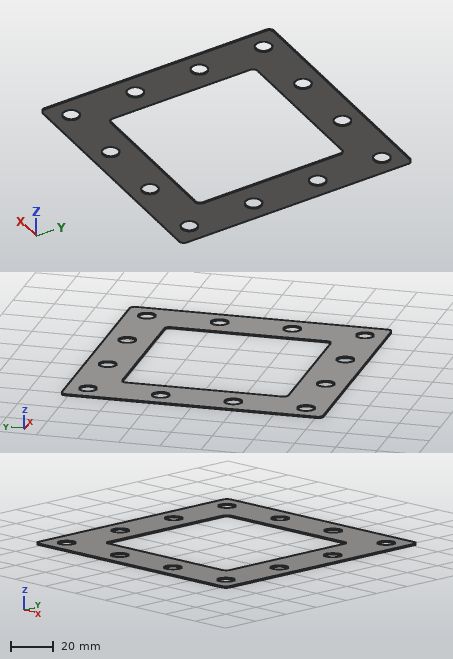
import cadquery as cq

side = 127.0
thickness = 0.81
outer_corner_radius = 2.5

window_side = 80.8
window_corner_radius = 2.5

hole_diameter = 8.4
hole_square_side = 105.9
holes_per_side = 4
hole_pitch = hole_square_side / (holes_per_side - 1)


def rounded_square(width, corner_radius):
    """Square slab of the plate thickness with rounded vertical edges."""
    slab = cq.Workplane("XY").rect(width, width).extrude(thickness)
    return slab.edges("|Z").fillet(corner_radius)


def bolt_hole_centers():
    """Grid positions that lie on the border of the hole square."""
    border = (0, holes_per_side - 1)
    return [
        (column * hole_pitch - hole_square_side / 2, row * hole_pitch - hole_square_side / 2)
        for column in range(holes_per_side)
        for row in range(holes_per_side)
        if column in border or row in border
    ]


plate = rounded_square(side, outer_corner_radius)
window = rounded_square(window_side, window_corner_radius)
bolt_holes = (
    cq.Workplane("XY")
    .pushPoints(bolt_hole_centers())
    .circle(hole_diameter / 2)
    .extrude(thickness)
)

result = plate.cut(window).cut(bolt_holes)